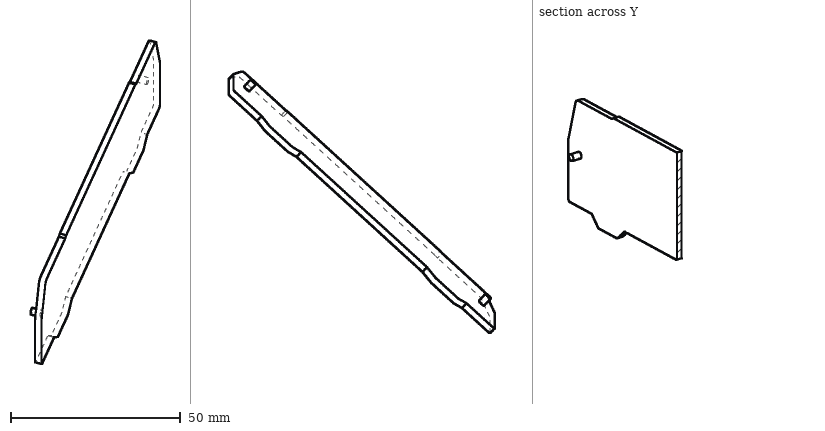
import cadquery as cq

length = 105.8
height = 38.3
thickness = 2.0
half_length = length / 2

crest_rise = 0.5
crest_half_length = 30.8
crest_ramp = 0.8
shoulder_z = height - crest_rise
shoulder_half_length = 49.1
slope_start_z = 23.5

foot_height = 3.5
foot_inner_root = 25.5
foot_inner_tip = 29.0
foot_outer_tip = 38.2
foot_outer_root = 41.5

shoulder_radius = 1.6
bottom_radius = 1.0
foot_radius = 1.0
slope_radius = 1.6

pin_diameter = 2.1
pin_length = 3.0
pin_offset = 47.5
pin_z = 20.3


def make_plate():
    half_outline = [
        (foot_inner_root, foot_height),
        (foot_inner_tip, 0),
        (foot_outer_tip, 0),
        (foot_outer_root, foot_height),
        (half_length, foot_height),
        (half_length, slope_start_z),
        (shoulder_half_length, shoulder_z),
        (crest_half_length + crest_ramp, shoulder_z),
        (crest_half_length, height),
    ]
    mirrored = [(-y, z) for y, z in reversed(half_outline)]
    return cq.Workplane("YZ").polyline(half_outline + mirrored).close().extrude(thickness)


def round_corners(plate, half_spacing, z, radius):
    """Round the pair of outline corners at Y = +/-half_spacing."""
    for y in (-half_spacing, half_spacing):
        corner = cq.selectors.NearestToPointSelector((thickness / 2, y, z))
        plate = plate.edges("|X").edges(corner).fillet(radius)
    return plate


def make_pins():
    return (
        cq.Workplane("YZ")
        .pushPoints([(-pin_offset, pin_z), (pin_offset, pin_z)])
        .circle(pin_diameter / 2)
        .extrude(-pin_length)
    )


plate = make_plate()
plate = round_corners(plate, shoulder_half_length, shoulder_z, shoulder_radius)
plate = round_corners(plate, half_length, foot_height, bottom_radius)
plate = round_corners(plate, half_length, slope_start_z, slope_radius)
for foot_corner in (foot_inner_tip, foot_outer_tip):
    plate = round_corners(plate, foot_corner, 0, foot_radius)

result = plate.union(make_pins())